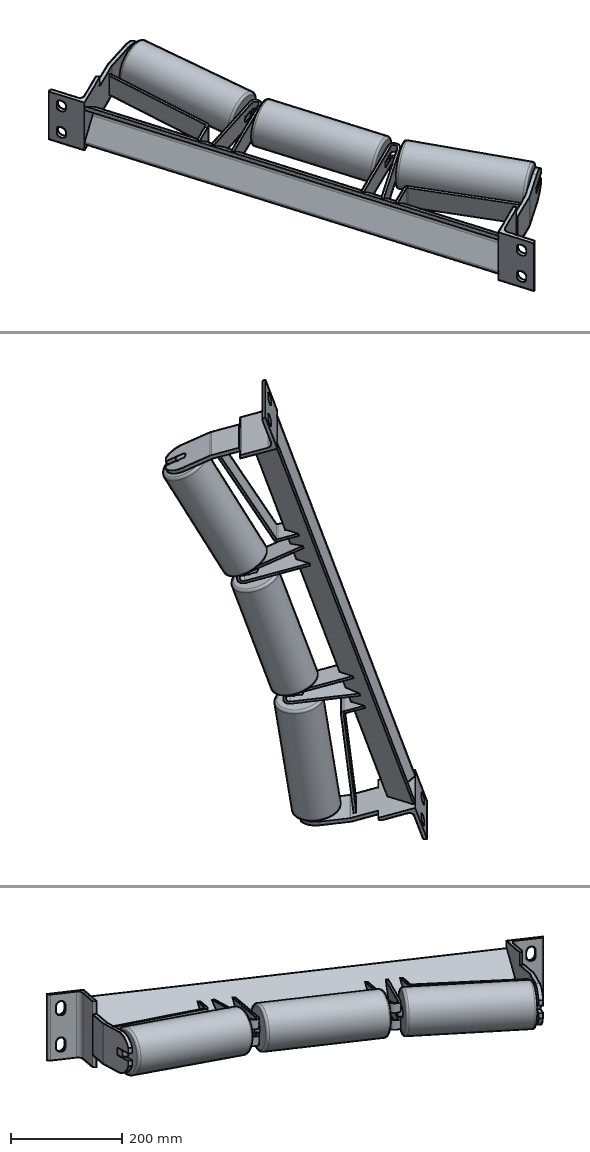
import cadquery as cq
import math


overall_length = 950.0
foot_height = 125.0
tilt_degrees = 10.0
tilt = math.radians(tilt_degrees)

angle_leg = 70.0
angle_thickness = 7.0
angle_root_radius = 9.0
angle_toe_radius = 4.5
toe_center = (angle_leg - angle_toe_radius, angle_thickness - angle_toe_radius)

foot_inner_x = overall_length / 2 - angle_leg
beam_length = 2 * foot_inner_x
beam_turn_degrees = 135.0
beam_ridge_y = sum(toe_center) / math.sqrt(2) + angle_toe_radius

roller_diameter = 89.0
roller_length = 240.0
roller_edge_radius = 5.0
axle_diameter = 20.0
axle_flats = 14.0
middle_axis_y = 135.3
outer_roller_center = (-272.0, 160.56)

axle_clearance = 4.5
plate_offset = roller_length / 2 + axle_clearance
fork_thickness = 5.0
fork_half_height = 25.0
fork_bend_radius = 6.3
upright_thickness = 8.0
upright_half_height = 38.5
upright_bend_radius = 8.0
upright_tip = 30.5
upright_round_center = -4.0

brace_thickness = 5.0
brace_half_height = 25.0
brace_top_y = 116.6
brace_slope = math.tan(math.radians(11.7))
brace_leg_x = -191.5
brace_bend_radius = 2.0

slot_width = 18.0
slot_length = 27.0
slot_from_end = 24.5
slot_spacing = 69.0

fork_outer_offset = plate_offset + fork_thickness
upright_outer_offset = plate_offset + upright_thickness
plate_foot_y = beam_ridge_y - fork_half_height


def on_roller(along, across):
    """XY point at a distance along the left roller's axis and square to it, upwards."""
    center_x, center_y = outer_roller_center
    x = center_x + along * math.cos(tilt) + across * math.sin(tilt)
    y = center_y - along * math.sin(tilt) + across * math.cos(tilt)
    return (x, y)


def on_roller_at_x(along, x):
    """Point at the given X on the line square to the left roller's axis at `along`."""
    base_x = on_roller(along, 0)[0]
    return on_roller(along, (x - base_x) / math.sin(tilt))


def on_roller_at_y(along, y):
    """Point at the given Y on the line square to the left roller's axis at `along`."""
    base_y = on_roller(along, 0)[1]
    return on_roller(along, (y - base_y) / math.cos(tilt))


def tilted_to_left_roller(body):
    """Moves a body centred on the origin along X into the left roller's place."""
    return body.rotate((0, 0, 0), (0, 0, 1), -tilt_degrees).translate((*outer_roller_center, 0))


def mirrored(body):
    """Copy of a left-hand body on the right-hand side."""
    return body.mirror("YZ")


def plate(outline, half_height):
    """Plate with the given XY outline, reaching equally to both sides of Z = 0."""
    return outline.close().extrude(2 * half_height).translate((0, 0, -half_height))


def angle_section(workplane):
    """Angle section with its outer corner at the origin and its legs along +x and +y."""
    toe_x, toe_y = toe_center
    toe_reach = angle_toe_radius * math.sqrt(0.5)
    root_edge = angle_thickness + angle_root_radius
    root_middle = root_edge - angle_root_radius * math.sqrt(0.5)
    return (
        workplane.moveTo(0, 0)
        .lineTo(angle_leg, 0)
        .lineTo(angle_leg, toe_y)
        .threePointArc((toe_x + toe_reach, toe_y + toe_reach), (toe_x, angle_thickness))
        .lineTo(root_edge, angle_thickness)
        .threePointArc((root_middle, root_middle), (angle_thickness, root_edge))
        .lineTo(angle_thickness, toe_x)
        .threePointArc((toe_y + toe_reach, toe_x + toe_reach), (toe_y, angle_leg))
        .lineTo(0, angle_leg)
    )


def make_roller():
    """Roller along X with rounded rims and a bore for its axle."""
    return (
        cq.Workplane("YZ", origin=(-roller_length / 2, 0, 0))
        .circle(roller_diameter / 2)
        .extrude(roller_length)
        .edges()
        .fillet(roller_edge_radius)
        .faces(">X")
        .workplane()
        .hole(axle_diameter)
    )


def make_axle(left_end, right_end):
    """Axle along X whose ends have two flats where they sit in the plates."""
    length = left_end + right_end
    axle = cq.Workplane("YZ", origin=(-left_end, 0, 0)).circle(axle_diameter / 2).extrude(length)
    flatted = (
        cq.Workplane("XY")
        .box(length, axle_diameter, axle_flats)
        .translate(((right_end - left_end) / 2, 0, 0))
    )
    round_middle = cq.Workplane("XY").box(2 * plate_offset, axle_diameter, axle_diameter)
    return axle.intersect(flatted.union(round_middle))


def axle_slot(near, far):
    """Cutter for an axle slot in a plate spanning near to far along X, open towards +Y."""
    seat = cq.Workplane("YZ", origin=(near, 0, 0)).circle(axle_diameter / 2).extrude(far - near)
    channel_height = roller_diameter
    channel = cq.Workplane("XY").box(far - near, channel_height, axle_flats)
    flats = channel.translate(((near + far) / 2, 0, 0))
    opening = flats.translate((0, channel_height / 2, 0))
    return seat.intersect(flats).union(opening)


def make_beam():
    """Angle bar turned so that both legs slope down from the ridge."""
    section = angle_section(cq.Workplane("YZ", origin=(-foot_inner_x, 0, 0)))
    bar = section.close().extrude(beam_length)
    return bar.rotate((0, 0, 0), (1, 0, 0), beam_turn_degrees).translate((0, beam_ridge_y, 0))


def beam_envelope():
    """Wedge under the beam's two outer faces."""
    return (
        cq.Workplane("YZ", origin=(-foot_inner_x, 0, 0))
        .moveTo(beam_ridge_y, 0)
        .lineTo(0, beam_ridge_y)
        .lineTo(0, -beam_ridge_y)
        .close()
        .extrude(beam_length)
    )


def make_left_fork():
    """Bent plate holding the left roller on its tilted leg and the middle roller on its upright leg."""
    upright_inner = -fork_outer_offset
    upright_outer = -plate_offset
    outer_radius = fork_bend_radius + fork_thickness

    bend_x = upright_inner - fork_bend_radius
    bend_along = fork_outer_offset + fork_bend_radius
    bend_y = on_roller_at_x(bend_along, bend_x)[1]
    bend_across = (bend_x - on_roller(bend_along, 0)[0]) / math.sin(tilt)

    outline = (
        cq.Workplane("XY")
        .moveTo(*on_roller_at_y(plate_offset, plate_foot_y))
        .lineTo(*on_roller(plate_offset, bend_across))
        .threePointArc((bend_x, bend_y + outer_radius), (upright_outer, bend_y))
        .lineTo(upright_outer, plate_foot_y)
        .lineTo(upright_inner, plate_foot_y)
        .lineTo(upright_inner, bend_y)
        .threePointArc((bend_x, bend_y + fork_bend_radius), on_roller(fork_outer_offset, bend_across))
        .lineTo(*on_roller_at_y(fork_outer_offset, plate_foot_y))
    )
    fork = plate(outline, fork_half_height)
    fork = fork.cut(tilted_to_left_roller(axle_slot(plate_offset, fork_outer_offset + outer_radius)))
    middle_slot = axle_slot(upright_inner - fork_bend_radius, upright_outer).translate((0, middle_axis_y, 0))
    return fork.cut(middle_slot).cut(beam_envelope())


def make_left_foot():
    """Angle-iron foot with two mounting slots."""
    foot = plate(angle_section(cq.Workplane("XY")), foot_height / 2)
    foot = mirrored(foot).translate((-foot_inner_x, 0, 0))
    slots = (
        cq.Workplane("XZ", origin=(slot_from_end - overall_length / 2, 0, 0))
        .rarray(1, slot_spacing, 1, 2)
        .slot2D(slot_length, slot_width, 90)
        .extrude(-angle_thickness)
    )
    return foot.cut(slots)


def make_left_upright():
    """Bent plate standing on the foot, with a rounded tip around the axle slot."""
    inner_x = -foot_inner_x
    outer_x = inner_x - upright_thickness
    outline = (
        cq.Workplane("XY")
        .moveTo(inner_x, angle_leg)
        .lineTo(*on_roller_at_x(-plate_offset, inner_x))
        .lineTo(*on_roller(-plate_offset, upright_tip))
        .lineTo(*on_roller(-upright_outer_offset, upright_tip))
        .lineTo(*on_roller_at_x(-upright_outer_offset, outer_x))
        .lineTo(outer_x, angle_leg)
    )
    upright = plate(outline, upright_half_height)
    inner_bend = cq.selectors.NearestToPointSelector((*on_roller_at_x(-plate_offset, inner_x), 0))
    outer_bend = cq.selectors.NearestToPointSelector((*on_roller_at_x(-upright_outer_offset, outer_x), 0))
    upright = upright.edges("|Z").edges(inner_bend).fillet(upright_bend_radius)
    upright = upright.edges("|Z").edges(outer_bend).fillet(upright_bend_radius + upright_thickness)

    rounded_end = (
        cq.Workplane("YZ", origin=(-overall_length / 2, upright_round_center, 0))
        .moveTo(-overall_length, -upright_half_height)
        .lineTo(0, -upright_half_height)
        .threePointArc((upright_half_height, 0), (0, upright_half_height))
        .lineTo(-overall_length, upright_half_height)
        .close()
        .extrude(overall_length)
    )
    upright = upright.intersect(tilted_to_left_roller(rounded_end))
    return upright.cut(tilted_to_left_roller(axle_slot(-upright_outer_offset, -plate_offset)))


def make_left_brace():
    """Strip sloping down from the upright and bent to stand on the beam."""
    start_x = -foot_inner_x
    inner_x = brace_leg_x - brace_thickness
    vertical_thickness = brace_thickness * math.hypot(1, brace_slope)

    def top_y(x):
        return brace_top_y - (x - start_x) * brace_slope

    outer_corner = (brace_leg_x, top_y(brace_leg_x))
    inner_corner = (inner_x, top_y(inner_x) - vertical_thickness)
    outline = (
        cq.Workplane("XY")
        .moveTo(start_x, brace_top_y)
        .lineTo(*outer_corner)
        .lineTo(brace_leg_x, plate_foot_y)
        .lineTo(inner_x, plate_foot_y)
        .lineTo(*inner_corner)
        .lineTo(start_x, brace_top_y - vertical_thickness)
    )
    brace = plate(outline, brace_half_height)
    for corner, radius in (
        (inner_corner, brace_bend_radius),
        (outer_corner, brace_bend_radius + brace_thickness),
    ):
        at_corner = cq.selectors.NearestToPointSelector((*corner, 0))
        brace = brace.edges("|Z").edges(at_corner).fillet(radius)
    return brace.cut(beam_envelope())


left_fork = make_left_fork()
crossbeam = make_beam().union(left_fork).union(mirrored(left_fork))

left_bracket = make_left_foot().union(make_left_upright()).union(make_left_brace())
brackets = [left_bracket, mirrored(left_bracket)]

middle_roller = make_roller().translate((0, middle_axis_y, 0))
left_roller = tilted_to_left_roller(make_roller())
rollers = [left_roller, middle_roller, mirrored(left_roller)]

middle_axle = make_axle(fork_outer_offset, fork_outer_offset).translate((0, middle_axis_y, 0))
left_axle = tilted_to_left_roller(make_axle(upright_outer_offset, fork_outer_offset))
axles = [left_axle, middle_axle, mirrored(left_axle)]

bodies = [crossbeam, *brackets, *rollers, *axles]
result = cq.Compound.makeCompound([body.val() for body in bodies])